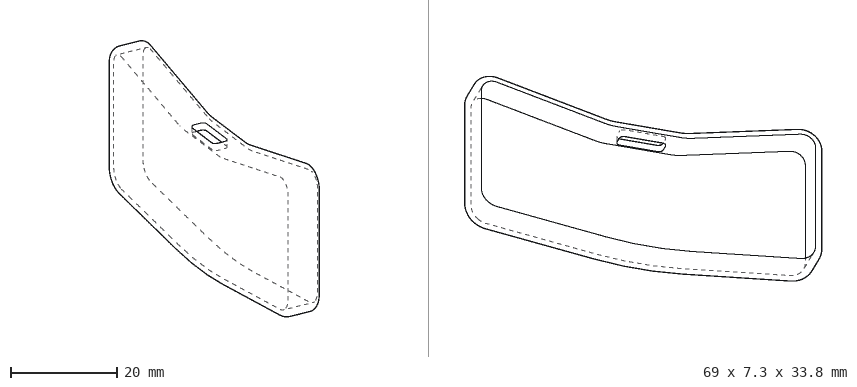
import cadquery as cq

length = 69.0
depth = 7.3
wall = 1.5
front_thickness = 1.0

side_top_z = 34.8
side_bottom_z = 3.6
notch_half_width = 7.3
notch_z = 28.35
bottom_apex_z = -0.55

top_corner_radius = 4.0
bottom_corner_radius = 5.0
notch_radius = 8.0
bottom_radius = 72.45

front_radius = 2.0
back_radius = 1.05

slot_width = 9.1
slot_height = 3.1
slot_corner_radius = 0.8
slot_center_from_back = 4.5
slot_cut_depth = 4.15

half_length = length / 2
front_y = -depth / 2
back_y = depth / 2
pick_margin = 0.7


def outline_prism():
    """Solid of the full outer outline with its corners rounded."""
    points = [
        (-half_length, side_bottom_z),
        (0, bottom_apex_z),
        (half_length, side_bottom_z),
        (half_length, side_top_z),
        (notch_half_width, notch_z),
        (-notch_half_width, notch_z),
        (-half_length, side_top_z),
    ]
    prism = cq.Workplane("XZ", origin=(0, back_y, 0)).polyline(points).close().extrude(depth)
    corner_edges = prism.edges("|Y")
    side_corners = corner_edges.filter(lambda edge: abs(edge.Center().x) > notch_half_width + pick_margin)
    top_corners = side_corners.filter(lambda edge: edge.Center().z > notch_z)
    bottom_corners = side_corners.filter(lambda edge: edge.Center().z < notch_z)
    prism = prism.newObject(top_corners.vals()).fillet(top_corner_radius)
    prism = prism.newObject(bottom_corners.vals()).fillet(bottom_corner_radius)
    notch_box = cq.selectors.BoxSelector(
        (-notch_half_width - pick_margin, front_y, notch_z - pick_margin),
        (notch_half_width + pick_margin, back_y, notch_z + pick_margin),
    )
    prism = prism.edges("|Y").edges(notch_box).fillet(notch_radius)
    bottom_box = cq.selectors.BoxSelector(
        (-pick_margin, front_y, bottom_apex_z - pick_margin),
        (pick_margin, back_y, bottom_apex_z + pick_margin),
    )
    return prism.edges("|Y").edges(bottom_box).fillet(bottom_radius)


def cavity(prism):
    """Hollow space one wall inside the outline, open at the back."""
    back_wire = prism.faces(">Y").wires().val()
    inner_wire = back_wire.offset2D(-wall)[0]
    inner_face = cq.Face.makeFromWires(inner_wire)
    hollow = cq.Solid.extrudeLinear(inner_face, cq.Vector(0, front_thickness - depth, 0))
    return cq.Workplane(hollow)


def connector_slot():
    """Rounded rectangular opening cut down through the notch floor."""
    return (
        cq.Workplane("XY", origin=(0, back_y - slot_center_from_back, notch_z - slot_cut_depth))
        .rect(slot_width, slot_height)
        .extrude(2 * slot_cut_depth)
        .edges("|Z")
        .fillet(slot_corner_radius)
    )


outline = outline_prism()
shell = outline.faces("<Y").edges().fillet(front_radius)
shell = shell.faces(">Y").edges().fillet(back_radius)
result = shell.cut(cavity(outline)).cut(connector_slot())